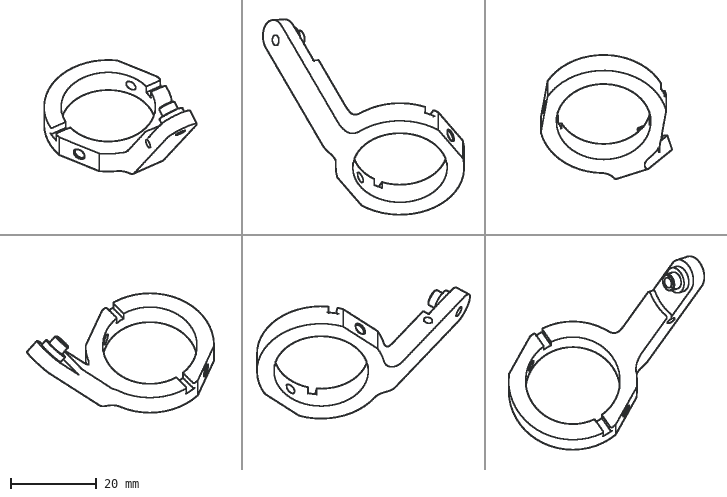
import cadquery as cq
import math

ring_radius = 14.995
bore_radius = 11.0
ring_height = 6.1
flat_distance = 14.0
flat_angles = (120, 300)

notch_width = 2.0
notch_depth = 2.0
notch_rounding = 0.3
screw_hole_diameter = 2.5
screw_mouth_diameter = 3.0

overall_length = 50.25
overall_height = 33.45
arm_angle = 60
arm_width = 8.0
arm_thickness = 5.0
tip_thickness = 3.5
root_radius = 3.0
inner_bend_radius = 2.5
outer_bend_radius = 5.0

boss_from_round_centre = 1.0
flange_diameter = 6.05
flange_height = 1.5
post_diameter = 4.0
post_height = 2.3
post_chamfer = 0.2
boss_hole_diameter = 2.4
recess_radius = 10.1
recess_corner_radius = 0.5

pin_diameter = 2.0
pin_depth = arm_width / 2
pin_below_step = 1.7

slope_cos = math.cos(math.radians(arm_angle))
slope_sin = math.sin(math.radians(arm_angle))
tip_x = overall_length - ring_radius
tip_z = overall_height - tip_thickness * slope_cos
outer_corner_x = tip_x - tip_z * slope_cos / slope_sin
inner_corner_x = outer_corner_x + (ring_height * slope_cos - arm_thickness) / slope_sin
arm_length = tip_z / slope_sin
round_centre = arm_length - arm_width / 2
boss_centre = round_centre - boss_from_round_centre
step_position = boss_centre - recess_radius
recess_depth = arm_thickness - tip_thickness
span = 2 * overall_length

arm_plane = cq.Plane(
    origin=(outer_corner_x, 0, 0),
    xDir=(slope_cos, 0, slope_sin),
    normal=(-slope_sin, 0, slope_cos),
)


def arm_workplane(height):
    return cq.Workplane(arm_plane).workplane(offset=height)


def near(x, y, z, reach=0.25):
    """Selector for edges whose centre lies close to a point."""
    return cq.selectors.BoxSelector(
        (x - reach, y - reach, z - reach), (x + reach, y + reach, z + reach)
    )


def plan_prism():
    """Ring disc and arm strip seen along Z, blended at the root."""
    disc = cq.Workplane("XY").circle(ring_radius).extrude(overall_height)
    strip = (
        cq.Workplane("XY")
        .rect(overall_length, arm_width)
        .extrude(overall_height)
        .translate((overall_length / 2, 0, 0))
    )
    prism = disc.union(strip)
    root_x = math.sqrt(ring_radius**2 - (arm_width / 2) ** 2)
    for side in (-1, 1):
        root = near(root_x, side * arm_width / 2, overall_height / 2)
        prism = prism.edges("|Z").edges(root).fillet(root_radius)
    return prism


def side_prism():
    """Ring slab and sloping arm seen along Y, with both bends rounded."""
    upper_tip = (tip_x - arm_thickness * slope_sin, tip_z + arm_thickness * slope_cos)
    prism = (
        cq.Workplane("XZ")
        .moveTo(-ring_radius, 0)
        .lineTo(outer_corner_x, 0)
        .lineTo(tip_x, tip_z)
        .lineTo(*upper_tip)
        .lineTo(inner_corner_x, ring_height)
        .lineTo(-ring_radius, ring_height)
        .close()
        .extrude(ring_radius, both=True)
    )
    prism = prism.edges("|Y").edges(near(outer_corner_x, 0, 0)).fillet(outer_bend_radius)
    return prism.edges("|Y").edges(near(inner_corner_x, 0, ring_height)).fillet(inner_bend_radius)


def round_arm_end(body):
    """Round the free end of the arm to a half circle."""
    end_block = (
        arm_workplane(0)
        .center(round_centre + arm_width / 2, 0)
        .rect(arm_width, 2 * arm_width)
        .extrude(arm_thickness)
    )
    end_disc = arm_workplane(0).center(round_centre, 0).circle(arm_width / 2).extrude(arm_thickness)
    return body.cut(end_block).union(end_disc)


def recess_arm(body):
    """Thin the arm's end, leaving a curved step with rounded corners."""
    recess = arm_workplane(tip_thickness).center(boss_centre, 0).circle(recess_radius).extrude(recess_depth)
    body = body.cut(recess)
    half_width = arm_width / 2
    step_corner = boss_centre - math.sqrt(recess_radius**2 - half_width**2)
    for side in (-1, 1):
        corner_height = tip_thickness + recess_depth / 2
        corner = arm_plane.toWorldCoords((step_corner, side * half_width, corner_height))
        body = body.edges(near(*corner.toTuple())).fillet(recess_corner_radius)
    return body


def add_boss(body):
    """Flange and chamfered post, bored through together with the arm."""
    flange_top = tip_thickness + flange_height
    flange = arm_workplane(0).center(boss_centre, 0).circle(flange_diameter / 2).extrude(flange_top)
    post = (
        arm_workplane(flange_top)
        .center(boss_centre, 0)
        .circle(post_diameter / 2)
        .extrude(post_height)
        .faces(cq.selectors.DirectionMinMaxSelector(arm_plane.zDir))
        .chamfer(post_chamfer)
    )
    bore = (
        arm_workplane(0)
        .center(boss_centre, 0)
        .circle(boss_hole_diameter / 2)
        .extrude(flange_top + post_height)
    )
    return body.union(flange).union(post).cut(bore)


def cut_pin_hole(body):
    centre = arm_plane.toWorldCoords((step_position - pin_below_step, 0, arm_thickness / 2))
    hole = cq.Solid.makeCylinder(
        pin_diameter / 2, pin_depth, cq.Vector(centre.x, -arm_width / 2, centre.z), cq.Vector(0, 1, 0)
    )
    return body.cut(cq.Workplane(hole))


def cut_flats_and_screw_holes(body):
    """Opposed flats, each with a screw hole opening into the bore."""
    mouth_depth = (screw_mouth_diameter - screw_hole_diameter) / 2
    for angle in flat_angles:
        direction = (math.cos(math.radians(angle)), math.sin(math.radians(angle)), 0)
        origin = tuple(flat_distance * part for part in direction)
        flat_plane = cq.Plane(origin=origin, xDir=(0, 0, 1), normal=direction)
        flat = cq.Workplane(flat_plane).rect(2 * ring_height, 2 * ring_radius).extrude(ring_radius)
        flat = flat.intersect(cq.Workplane("XY").circle(ring_radius).extrude(ring_height))
        face = cq.Workplane(flat_plane).center(ring_height / 2, 0)
        hole = face.circle(screw_hole_diameter / 2).extrude(-flat_distance)
        mouth = (
            face.circle(screw_mouth_diameter / 2)
            .workplane(offset=-mouth_depth)
            .circle(screw_hole_diameter / 2)
            .loft()
        )
        body = body.cut(flat).cut(hole).cut(mouth)
    return body


def cut_notches(body):
    """One slot across the ring, making two notches with rounded outer corners."""
    notch = (
        cq.Workplane("XY", origin=(0, 0, ring_height - notch_depth))
        .rect(notch_width, span)
        .extrude(notch_depth)
    )
    body = body.cut(notch)
    corner_y = math.sqrt(ring_radius**2 - (notch_width / 2) ** 2)
    for side_x in (-1, 1):
        for side_y in (-1, 1):
            corner = near(side_x * notch_width / 2, side_y * corner_y, ring_height - notch_depth / 2)
            body = body.edges("|Z").edges(corner).fillet(notch_rounding)
    return body


body = plan_prism().intersect(side_prism())
body = round_arm_end(body)
body = recess_arm(body)
body = add_boss(body)
body = cut_pin_hole(body)
body = body.cut(cq.Workplane("XY").circle(bore_radius).extrude(ring_height))
body = cut_flats_and_screw_holes(body)
result = cut_notches(body)